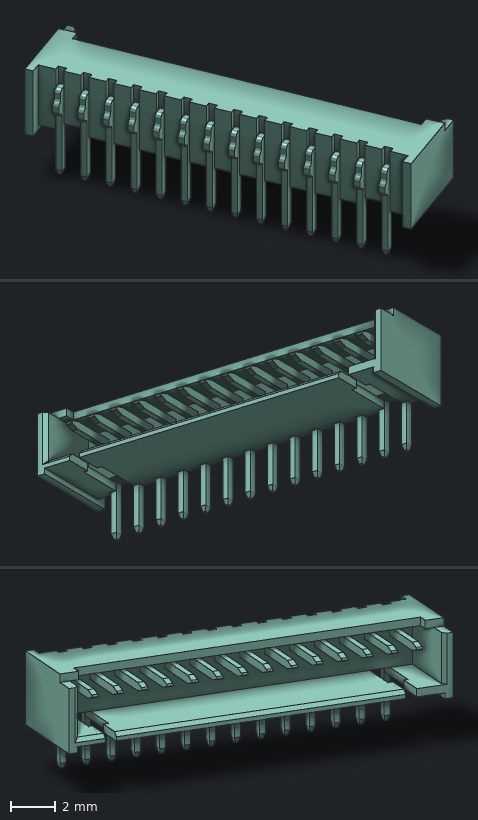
import cadquery as cq
import math


LENGTH = 19.25
DEPTH = 4.7
HEIGHT = 3.55
END_THICKNESS = 0.5
EAR_THICKNESS = 0.42
FRONT_FACE_Y = 0.55
CAVITY_FRONT_Y = 1.4
FLOOR_BOTTOM_Z = 0.29
WALL_THICKNESS = 0.4
FLOOR_TOP_Z = FLOOR_BOTTOM_Z + WALL_THICKNESS
ROOF_BOTTOM_Z = HEIGHT - WALL_THICKNESS
ROOF_EDGE_Y = 3.2
ROOF_TAB_EDGE_Y = 3.72
ROOF_TAB_LENGTH = 0.95
MOUTH_CHAMFER = 0.2

PIN_COUNT = 14
PIN_SPAN = 16.25
PITCH = PIN_SPAN / (PIN_COUNT - 1)
PIN_X = [-PIN_SPAN / 2 + i * PITCH for i in range(PIN_COUNT)]
PIN_WIDTH = 0.3
PIN_THICKNESS = 0.4
PIN_BACK_Y = 0.83
PIN_FRONT_Y = PIN_BACK_Y - PIN_THICKNESS
TAIL_LENGTH = 2.06
TAIL_TIP_LENGTH = 0.27
TAIL_TIP_SCALE = 0.5
SLOT_WIDTH = 0.4

BLADE_TOP_Z = 2.64
BLADE_BOTTOM_Z = BLADE_TOP_Z - PIN_THICKNESS
BLADE_END_Y = 4.31
BLADE_TAPER_Y = 3.83
BLADE_NOSE_Y = 4.24
BLADE_TAPER_DROP = 0.13

BEND_RADIUS = 0.21
SHOULDER_Y = 0.29
SHOULDER_BOTTOM_Z = 2.15
BUMP_Y = 0.1
BUMP_TOP_Z = 1.8
BUMP_BOTTOM_Z = 1.52
BUMP_ROOT_Z = 1.17

NOTCH_X = 7.53
NOTCH_WIDTH = 0.54
RELIEF_X = PIN_SPAN / 2 - PITCH / 2
RELIEF_WIDTH = 1.0
RELIEF_END_Y = 3.31


def block(x0, x1, y0, y1, z0, z1):
    """Box given by its limits along each axis."""
    return cq.Workplane("XY").box(x1 - x0, y1 - y0, z1 - z0, centered=False).translate((x0, y0, z0))


def housing_shell():
    half = LENGTH / 2
    body = block(-half, half, 0, DEPTH, 0, HEIGHT)

    body = body.cut(block(-half, half, ROOF_TAB_EDGE_Y, DEPTH, ROOF_BOTTOM_Z, HEIGHT))

    roof_half = half - ROOF_TAB_LENGTH
    body = body.cut(block(-roof_half, roof_half, ROOF_EDGE_Y, DEPTH, ROOF_BOTTOM_Z, HEIGHT))

    ear_half = half - EAR_THICKNESS
    body = body.cut(block(-ear_half, ear_half, 0, FRONT_FACE_Y, 0, HEIGHT))
    body = body.cut(block(-ear_half, ear_half, 0, DEPTH, 0, FLOOR_BOTTOM_Z))

    cavity_half = half - END_THICKNESS
    return body.cut(block(-cavity_half, cavity_half, CAVITY_FRONT_Y, DEPTH, FLOOR_TOP_Z, ROOF_BOTTOM_Z))


def wall_chamfer(side):
    """Corner prism at the mouth edge of one end wall; side is -1 or +1."""
    inner = side * (LENGTH / 2 - END_THICKNESS)
    corner = [
        (inner, DEPTH - MOUTH_CHAMFER),
        (inner + side * MOUTH_CHAMFER, DEPTH),
        (inner, DEPTH),
    ]
    return (
        cq.Workplane("XY", origin=(0, 0, FLOOR_TOP_Z))
        .polyline(corner)
        .close()
        .extrude(ROOF_BOTTOM_Z - FLOOR_TOP_Z)
    )


def floor_chamfer():
    """Mouth chamfer of the floor, from the -X notch to the +X wall's mitre."""
    start = -NOTCH_X
    inner = LENGTH / 2 - END_THICKNESS
    corner = [
        (DEPTH - MOUTH_CHAMFER, FLOOR_TOP_Z),
        (DEPTH, FLOOR_TOP_Z - MOUTH_CHAMFER),
        (DEPTH, FLOOR_TOP_Z),
    ]
    strip = (
        cq.Workplane("YZ", origin=(start, 0, 0))
        .polyline(corner)
        .close()
        .extrude(inner + MOUTH_CHAMFER - start)
    )
    mitre = (
        cq.Workplane("XY")
        .polyline([
            (start, DEPTH - MOUTH_CHAMFER),
            (inner, DEPTH - MOUTH_CHAMFER),
            (inner + MOUTH_CHAMFER, DEPTH),
            (start, DEPTH),
        ])
        .close()
        .extrude(HEIGHT)
    )
    return strip.intersect(mitre)


def floor_notch(side):
    """Wide relief open to the front, with a narrow slot on to the mouth."""
    relief_x = side * RELIEF_X
    relief_half = RELIEF_WIDTH / 2
    relief = block(relief_x - relief_half, relief_x + relief_half, 0, RELIEF_END_Y, 0, FLOOR_TOP_Z)
    slot_x = side * NOTCH_X
    slot_half = NOTCH_WIDTH / 2
    slot = block(slot_x - slot_half, slot_x + slot_half, 0, DEPTH, 0, FLOOR_TOP_Z)
    return relief.union(slot)


def pin_slot(x):
    """Full-height groove in the front face that holds one pin."""
    return block(x - SLOT_WIDTH / 2, x + SLOT_WIDTH / 2, 0, PIN_BACK_Y, 0, HEIGHT)


def s_curve(sketch, y0, z0, y1, z1):
    """Two equal tangent arcs from (y0, z0) to (y1, z1), vertical at both ends."""
    half_y = (y1 - y0) / 2
    half_z = (z1 - z0) / 2
    angle = 2 * math.atan2(abs(half_y), abs(half_z))
    radius = abs(half_z) / math.sin(angle)
    bulge_y = math.copysign(radius * (1 - math.cos(angle / 2)), half_y)
    bulge_z = math.copysign(radius * math.sin(angle / 2), half_z)
    return (
        sketch
        .threePointArc((y0 + bulge_y, z0 + bulge_z), (y0 + half_y, z0 + half_z))
        .threePointArc((y1 - bulge_y, z1 - bulge_z), (y1, z1))
    )


def pin():
    """One bent pin centred on X = 0."""
    shank_bottom = TAIL_TIP_LENGTH - TAIL_LENGTH
    bend_mid = BEND_RADIUS * (1 - math.sqrt(0.5))
    outline = (
        cq.Workplane("YZ", origin=(-PIN_WIDTH / 2, 0, 0))
        .moveTo(PIN_BACK_Y, shank_bottom)
        .lineTo(PIN_BACK_Y, BLADE_BOTTOM_Z)
        .lineTo(BLADE_TAPER_Y, BLADE_BOTTOM_Z)
        .lineTo(BLADE_NOSE_Y, BLADE_BOTTOM_Z + BLADE_TAPER_DROP)
        .threePointArc(
            (BLADE_END_Y, (BLADE_BOTTOM_Z + BLADE_TOP_Z) / 2),
            (BLADE_NOSE_Y, BLADE_TOP_Z - BLADE_TAPER_DROP),
        )
        .lineTo(BLADE_TAPER_Y, BLADE_TOP_Z)
        .lineTo(SHOULDER_Y + BEND_RADIUS, BLADE_TOP_Z)
        .threePointArc(
            (SHOULDER_Y + bend_mid, BLADE_TOP_Z - bend_mid),
            (SHOULDER_Y, BLADE_TOP_Z - BEND_RADIUS),
        )
        .lineTo(SHOULDER_Y, SHOULDER_BOTTOM_Z)
    )
    outline = s_curve(outline, SHOULDER_Y, SHOULDER_BOTTOM_Z, BUMP_Y, BUMP_TOP_Z)
    outline = outline.lineTo(BUMP_Y, BUMP_BOTTOM_Z)
    outline = s_curve(outline, BUMP_Y, BUMP_BOTTOM_Z, PIN_FRONT_Y, BUMP_ROOT_Z)
    blank = outline.lineTo(PIN_FRONT_Y, shank_bottom).close().extrude(PIN_WIDTH)

    tip = (
        cq.Workplane("XY", origin=(0, (PIN_FRONT_Y + PIN_BACK_Y) / 2, shank_bottom))
        .rect(PIN_WIDTH, PIN_THICKNESS)
        .workplane(offset=-TAIL_TIP_LENGTH)
        .rect(PIN_WIDTH * TAIL_TIP_SCALE, PIN_THICKNESS * TAIL_TIP_SCALE)
        .loft(ruled=True)
    )
    return blank.union(tip)


housing = housing_shell().cut(floor_chamfer())
for end in (-1, 1):
    housing = housing.cut(wall_chamfer(end)).cut(floor_notch(end))
for x_pos in PIN_X:
    housing = housing.cut(pin_slot(x_pos))

result = housing
single_pin = pin()
for x_pos in PIN_X:
    result = result.union(single_pin.translate((x_pos, 0, 0)))